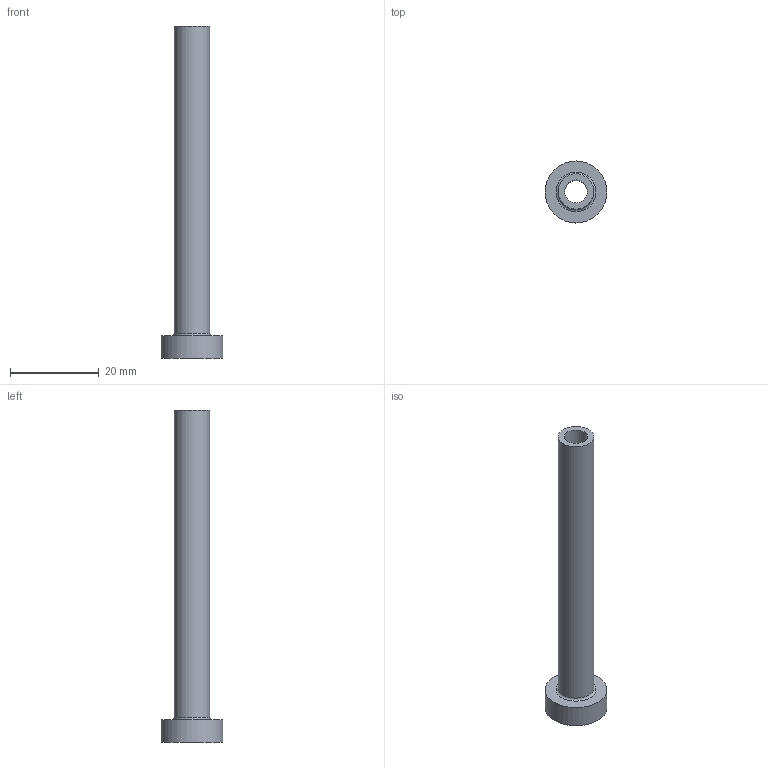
import cadquery as cq

total_length = 75.0
head_diameter = 14.0
head_height = 5.0
shank_diameter = 8.0
bore_diameter = 5.2
neck_fillet_radius = 0.5

head_radius = head_diameter / 2
shank_radius = shank_diameter / 2
bore_radius = bore_diameter / 2


def make_sleeve():
    """Revolve the half-section: a flanged tube with a filleted neck and a through bore."""
    fillet_outer_radius = shank_radius + neck_fillet_radius
    fillet_top = head_height + neck_fillet_radius
    half_section = (
        cq.Workplane("XZ")
        .moveTo(bore_radius, 0)
        .lineTo(head_radius, 0)
        .lineTo(head_radius, head_height)
        .lineTo(fillet_outer_radius, head_height)
        .radiusArc((shank_radius, fillet_top), neck_fillet_radius)
        .lineTo(shank_radius, total_length)
        .lineTo(bore_radius, total_length)
        .close()
    )
    return half_section.revolve(360, (0, 0, 0), (0, 1, 0))


result = make_sleeve()